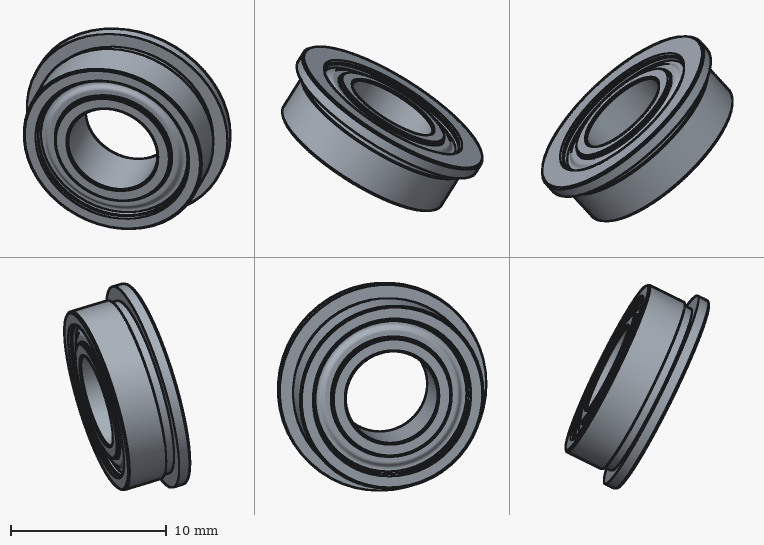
import cadquery as cq
import math


width = 4.0
half_width = width / 2
edge_chamfer = 0.1

flange_radius = 6.75
flange_thickness = 0.8
barrel_radius = 6.0
relief_radius = 5.8
relief_width = 0.61
ring_mouth_radius = 5.17
ring_seat_radius = 5.05
mouth_chamfer = ring_mouth_radius - ring_seat_radius

bore_radius = 3.0
inner_ring_radius = 3.9

shield_gap = 0.04
shield_bore_radius = inner_ring_radius + shield_gap
crown_depth = 0.2
lip_depth = 0.25
flank_slope_degrees = 45
flank_run = 0.08
gap_depth = 0.3
crown_edge_radius = 4.29
floor_inner_radius = 4.77
rim_round = 0.11


def revolve_about_y(profile):
    """Turn a closed (radius, y) profile into a solid of revolution about Y."""
    return profile.close().revolve(360, (0, 0, 0), (0, 1, 0))


def make_outer_ring():
    """Flanged ring with a relief groove in front of the flange."""
    flange_front = half_width - flange_thickness
    relief_front = flange_front - relief_width
    profile = (
        cq.Workplane("XY")
        .moveTo(ring_mouth_radius, -half_width)
        .lineTo(barrel_radius - edge_chamfer, -half_width)
        .lineTo(barrel_radius, -half_width + edge_chamfer)
        .lineTo(barrel_radius, relief_front)
        .lineTo(relief_radius, relief_front)
        .lineTo(relief_radius, flange_front)
        .lineTo(flange_radius, flange_front)
        .lineTo(flange_radius, half_width - edge_chamfer)
        .lineTo(flange_radius - edge_chamfer, half_width)
        .lineTo(ring_mouth_radius, half_width)
        .lineTo(ring_seat_radius, half_width - mouth_chamfer)
        .lineTo(ring_seat_radius, -half_width + mouth_chamfer)
    )
    return revolve_about_y(profile)


def make_inner_ring():
    """Plain ring with all four edges chamfered."""
    ring = (
        cq.Workplane("XZ", origin=(0, half_width, 0))
        .circle(inner_ring_radius)
        .circle(bore_radius)
        .extrude(width)
    )
    return ring.edges().chamfer(edge_chamfer)


def shield_face_cut():
    """Solid removed from the front of the shield blank to shape its face."""
    crown = -half_width + crown_depth
    gap_floor = -half_width + gap_depth
    lip = -half_width + lip_depth

    arc_run = (floor_inner_radius - crown_edge_radius - flank_run) / 2
    flank_slope = math.radians(flank_slope_degrees)
    half_angle = flank_slope / 2
    arc_radius = arc_run / math.sin(flank_slope)
    arc_rise = arc_radius * (1 - math.cos(flank_slope))
    mid_run = arc_radius * math.sin(half_angle)
    mid_rise = arc_radius * (1 - math.cos(half_angle))

    floor = crown + 2 * arc_rise + flank_run * math.tan(flank_slope)
    round_mid_run = rim_round * (1 - math.sqrt(0.5))
    profile = (
        cq.Workplane("XY")
        .moveTo(inner_ring_radius, -half_width)
        .lineTo(inner_ring_radius, gap_floor)
        .lineTo(shield_bore_radius, gap_floor)
        .lineTo(shield_bore_radius, crown)
        .lineTo(crown_edge_radius, crown)
        .threePointArc(
            (crown_edge_radius + mid_run, crown + mid_rise),
            (crown_edge_radius + arc_run, crown + arc_rise),
        )
        .lineTo(floor_inner_radius - arc_run, floor - arc_rise)
        .threePointArc(
            (floor_inner_radius - mid_run, floor - mid_rise),
            (floor_inner_radius, floor),
        )
        .lineTo(ring_seat_radius - rim_round, floor)
        .lineTo(ring_seat_radius - rim_round, lip + rim_round)
        .threePointArc(
            (ring_seat_radius - rim_round + round_mid_run, lip + round_mid_run),
            (ring_seat_radius, lip),
        )
        .lineTo(ring_seat_radius, -half_width)
    )
    return revolve_about_y(profile)


def make_shield():
    """Annular body between the rings, with the same shaped face at both ends."""
    blank = (
        cq.Workplane("XZ", origin=(0, half_width, 0))
        .circle(ring_seat_radius)
        .circle(inner_ring_radius)
        .extrude(width)
    )
    front_cut = shield_face_cut()
    return blank.cut(front_cut).cut(front_cut.mirror("XZ"))


outer_ring = make_outer_ring()
inner_ring = make_inner_ring()
shield = make_shield()

result = cq.Compound.makeCompound([outer_ring.val(), inner_ring.val(), shield.val()])